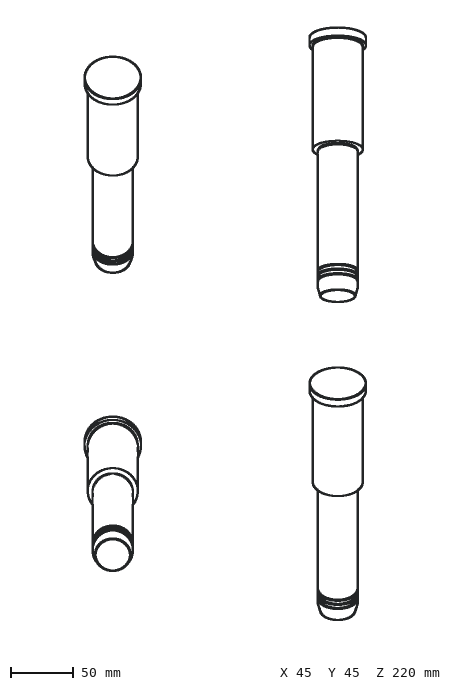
import cadquery as cq

length = 220.0

head_diameter = 45.0
head_height = 7.0
head_chamfer = 0.5

body_diameter = 40.0
shoulder_depth = 95.5

shoulder_relief_width = 1.3
shoulder_relief_depth = 0.9

shaft_diameter = 32.1
nose_height = 7.7
nose_diameter = 28.2
nose_chamfer = 0.5

groove_width = 1.0
groove_depth = 0.55
groove_count = 3
groove_pitch = 4.0
lowest_groove_height = 13.0

head_base = length - head_height
shoulder_height = length - shoulder_depth
relief_base = shoulder_height - shoulder_relief_width


def cylinder(diameter, bottom, top):
    """Round section on the Z axis between two heights."""
    return cq.Workplane("XY").workplane(offset=bottom).circle(diameter / 2).extrude(top - bottom)


def v_groove(diameter, center_height):
    """Ring of triangular section that cuts a V into a cylinder of the given diameter."""
    radius = diameter / 2
    half_width = groove_width / 2
    return (
        cq.Workplane("XZ")
        .moveTo(radius - groove_depth, center_height)
        .lineTo(radius, center_height + half_width)
        .lineTo(radius, center_height - half_width)
        .close()
        .revolve(360, (0, 0), (0, 1))
    )


def make_nose():
    """Conical lead-in that narrows from the shaft to the chamfered tip."""
    cone = cq.Solid.makeCone(nose_diameter / 2, shaft_diameter / 2, nose_height)
    return cq.Workplane(cone).faces("<Z").chamfer(nose_chamfer)


head = cylinder(head_diameter, head_base, length).faces(">Z").chamfer(head_chamfer)
body = cylinder(body_diameter, shoulder_height, head_base)
relief = cylinder(shaft_diameter - 2 * shoulder_relief_depth, relief_base, shoulder_height)
shaft = cylinder(shaft_diameter, nose_height, relief_base)

body = body.cut(v_groove(body_diameter, head_base - groove_width / 2))

for index in range(groove_count):
    shaft = shaft.cut(v_groove(shaft_diameter, lowest_groove_height + index * groove_pitch))

result = head.union(body).union(relief).union(shaft).union(make_nose())